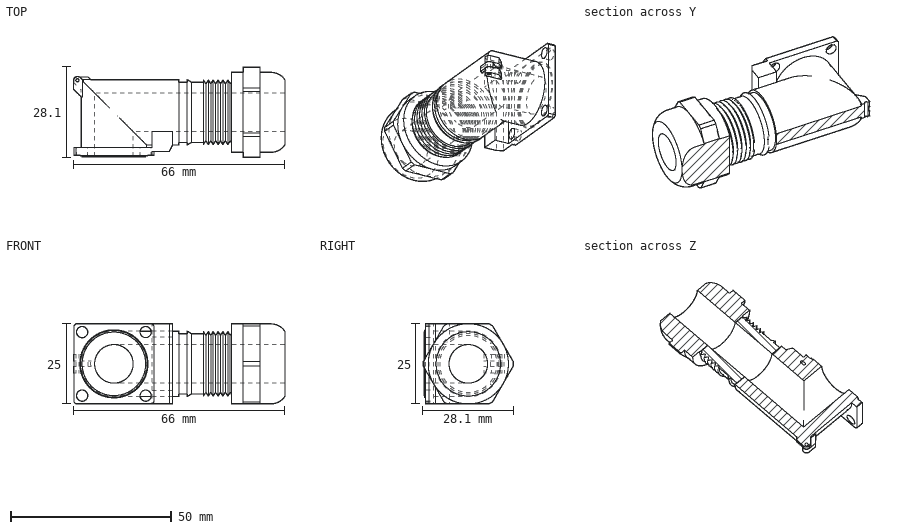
import cadquery as cq
import math


TUBE_R = 10.25
BORE_R = 6.0
HALF_WIDTH = 12.515

FLANGE_BACK_Y = -10.9
FLANGE_FRONT_Y = -13.4
ELBOW_END_X = 20.3

FLANGE_CHAMFER = 0.65
SCREW_HOLE_R = 1.7
SCREW_HOLE_OFFSET = 9.9

SPIGOT_BASE_R = 10.6
SPIGOT_LEDGE_R = 10.45
SPIGOT_TIP_R = 9.9
SPIGOT_STEP = 0.23

BLOCK_LEFT_X = HALF_WIDTH - FLANGE_CHAMFER
BLOCK_RIGHT_X = 18.3
BLOCK_TOP_Y = -5.95
BLOCK_BOTTOM_Y = -12.2
BLOCK_CHAMFER_X = 1.0
BLOCK_CHAMFER_Y = 1.9

HINGE_X = -11.35
HINGE_Y = 10.0
HINGE_HOLE_R = 0.45
PRONG_R = 1.25
PRONG_FLAT_END_Y = 7.2
PRONG_BOTTOM_Y = 4.8
PRONG_OUTER_Z = 2.9
TONGUE_R = 1.09
TONGUE_FLAT_END_Y = 9.2
TONGUE_HALF_Z = 0.85
TONGUE_TOP_END_X = -8.05
LUG_ROOT = 8.6

SLEEVE_R = 9.45
BARB_START_X = 22.85
BARB_END_X = 24.2
THREAD_START_X = 27.95
THREAD_PITCH = 1.5
THREAD_COUNT = 5
THREAD_CREST_R = 10.1
THREAD_ROOT_R = 8.9

NUT_START_X = 36.65
HEX_START_X = 40.3
HEX_END_X = 45.65
DOME_START_X = 49.0
NUT_END_X = 53.4
HEX_CORNER_R = 14.05
DOME_END_R = 10.05


def mitred_pipe(radius, start_y, end_x):
    """Round bar along Y and then along X, with a sharp mitre at the origin."""
    path = cq.Workplane("XY").moveTo(0, start_y).lineTo(0, 0).lineTo(end_x, 0)
    section = cq.Workplane("XZ", origin=(0, start_y, 0)).circle(radius)
    return section.sweep(path, transition="right")


def make_flange():
    return (
        cq.Workplane("XZ", origin=(0, FLANGE_BACK_Y, 0))
        .rect(2 * HALF_WIDTH, 2 * HALF_WIDTH)
        .extrude(FLANGE_BACK_Y - FLANGE_FRONT_Y)
        .edges("|Y")
        .chamfer(FLANGE_CHAMFER)
    )


def make_screw_holes():
    spacing = 2 * SCREW_HOLE_OFFSET
    return (
        cq.Workplane("XZ", origin=(0, FLANGE_BACK_Y, 0))
        .rect(spacing, spacing, forConstruction=True)
        .vertices()
        .circle(SCREW_HOLE_R)
        .extrude(FLANGE_BACK_Y - FLANGE_FRONT_Y)
    )


def make_spigot():
    """Stepped collar on the flange face: a slightly conical step and a smaller straight one."""
    ledge_y = FLANGE_FRONT_Y - SPIGOT_STEP
    tip_y = ledge_y - SPIGOT_STEP
    profile = [
        (0, FLANGE_FRONT_Y),
        (SPIGOT_BASE_R, FLANGE_FRONT_Y),
        (SPIGOT_LEDGE_R, ledge_y),
        (SPIGOT_TIP_R, ledge_y),
        (SPIGOT_TIP_R, tip_y),
        (0, tip_y),
    ]
    return cq.Workplane("XY").polyline(profile).close().revolve(360, (0, 0), (0, 1))


def make_block():
    outline = [
        (BLOCK_LEFT_X, BLOCK_TOP_Y),
        (BLOCK_RIGHT_X, BLOCK_TOP_Y),
        (BLOCK_RIGHT_X, BLOCK_BOTTOM_Y + BLOCK_CHAMFER_Y),
        (BLOCK_RIGHT_X - BLOCK_CHAMFER_X, BLOCK_BOTTOM_Y),
        (BLOCK_LEFT_X, BLOCK_BOTTOM_Y),
    ]
    return cq.Workplane("XY").polyline(outline).close().extrude(HALF_WIDTH, both=True)


def make_prong(bottom_z):
    """One outer hinge plate, rounded about the pin hole, with its lower face at bottom_z."""
    left_x = HINGE_X - PRONG_R
    slope_length = PRONG_FLAT_END_Y - PRONG_BOTTOM_Y
    arc_end_x = HINGE_X + PRONG_R * math.sqrt(0.5)
    arc_end_y = HINGE_Y + PRONG_R * math.sqrt(0.5)
    slope_end_y = arc_end_y - (-LUG_ROOT - arc_end_x)
    return (
        cq.Workplane("XY", origin=(0, 0, bottom_z))
        .moveTo(left_x, HINGE_Y)
        .threePointArc((HINGE_X, HINGE_Y + PRONG_R), (arc_end_x, arc_end_y))
        .lineTo(-LUG_ROOT, slope_end_y)
        .lineTo(-LUG_ROOT, PRONG_BOTTOM_Y)
        .lineTo(left_x + slope_length, PRONG_BOTTOM_Y)
        .lineTo(left_x, PRONG_FLAT_END_Y)
        .close()
        .extrude(PRONG_OUTER_Z - TONGUE_HALF_Z)
    )


def make_tongue():
    """Middle hinge plate, running from the pin hole over the top of the outlet tube."""
    left_x = HINGE_X - TONGUE_R
    top_y = HINGE_Y + TONGUE_R
    return (
        cq.Workplane("XY", origin=(0, 0, -TONGUE_HALF_Z))
        .moveTo(left_x, HINGE_Y)
        .radiusArc((HINGE_X, top_y), TONGUE_R)
        .lineTo(TONGUE_TOP_END_X, top_y)
        .lineTo(TONGUE_TOP_END_X + top_y - LUG_ROOT, LUG_ROOT)
        .lineTo(-LUG_ROOT, LUG_ROOT)
        .lineTo(-LUG_ROOT, TONGUE_FLAT_END_Y - (-LUG_ROOT - left_x))
        .lineTo(left_x, TONGUE_FLAT_END_Y)
        .close()
        .extrude(2 * TONGUE_HALF_Z)
    )


def make_elbow():
    pin_hole = (
        cq.Workplane("XY", origin=(HINGE_X, HINGE_Y, 0))
        .circle(HINGE_HOLE_R)
        .extrude(PRONG_OUTER_Z, both=True)
    )
    spigot_tip_y = FLANGE_FRONT_Y - 2 * SPIGOT_STEP
    body = (
        mitred_pipe(TUBE_R, FLANGE_FRONT_Y, ELBOW_END_X)
        .union(make_flange())
        .union(make_block())
        .union(make_spigot())
        .union(make_tongue())
    )
    for prong_bottom_z in (-PRONG_OUTER_Z, TONGUE_HALF_Z):
        body = body.union(make_prong(prong_bottom_z))
    return (
        body.cut(mitred_pipe(BORE_R, spigot_tip_y, ELBOW_END_X))
        .cut(make_screw_holes())
        .cut(pin_hole)
    )


def make_sleeve():
    """Tube with a barb and a run of V-shaped thread ridges, turned about the outlet axis."""
    profile = [
        (ELBOW_END_X, BORE_R),
        (ELBOW_END_X, SLEEVE_R),
        (BARB_START_X, SLEEVE_R),
        (BARB_START_X, TUBE_R),
        (BARB_END_X, SLEEVE_R),
        (THREAD_START_X, SLEEVE_R),
        (THREAD_START_X, THREAD_CREST_R),
    ]
    for turn in range(THREAD_COUNT):
        groove_x = THREAD_START_X + (turn + 0.5) * THREAD_PITCH
        profile.append((groove_x, THREAD_ROOT_R))
        profile.append((groove_x + THREAD_PITCH / 2, THREAD_CREST_R))
    last_root_x = THREAD_START_X + (THREAD_COUNT + 0.5) * THREAD_PITCH
    flank_slope = (THREAD_CREST_R - THREAD_ROOT_R) / (THREAD_PITCH / 2)
    thread_end_r = THREAD_ROOT_R + flank_slope * (NUT_START_X - last_root_x)
    profile += [
        (last_root_x, THREAD_ROOT_R),
        (NUT_START_X, thread_end_r),
        (NUT_START_X, BORE_R),
    ]
    return cq.Workplane("XY").polyline(profile).close().revolve(360, (0, 0), (1, 0))


def hexagon_bar(apothem, turn):
    """Hexagonal bar over the nut's wrench length, turned about the outlet axis by an angle in degrees."""
    bar = (
        cq.Workplane("YZ", origin=(HEX_START_X, 0, 0))
        .polygon(6, 2 * apothem, circumscribed=True)
        .extrude(HEX_END_X - HEX_START_X)
    )
    return bar.rotate((0, 0, 0), (1, 0, 0), turn)


def make_nut():
    dome_length = NUT_END_X - DOME_START_X
    dome_drop = HALF_WIDTH - DOME_END_R
    dome_radius = (dome_length**2 + dome_drop**2) / (2 * dome_drop)
    turned = (
        cq.Workplane("XY")
        .moveTo(NUT_START_X, 0)
        .lineTo(NUT_START_X, HALF_WIDTH)
        .lineTo(DOME_START_X, HALF_WIDTH)
        .radiusArc((NUT_END_X, DOME_END_R), dome_radius)
        .lineTo(NUT_END_X, 0)
        .close()
        .revolve(360, (0, 0), (1, 0))
    )
    wrench_flats = hexagon_bar(HALF_WIDTH, 30).intersect(hexagon_bar(HEX_CORNER_R, 0))
    bore = (
        cq.Workplane("YZ", origin=(NUT_START_X, 0, 0))
        .circle(BORE_R)
        .extrude(NUT_END_X - NUT_START_X)
    )
    return turned.union(wrench_flats).cut(bore)


elbow = make_elbow()
sleeve = make_sleeve()
nut = make_nut()

result = cq.Compound.makeCompound([elbow.val(), sleeve.val(), nut.val()])